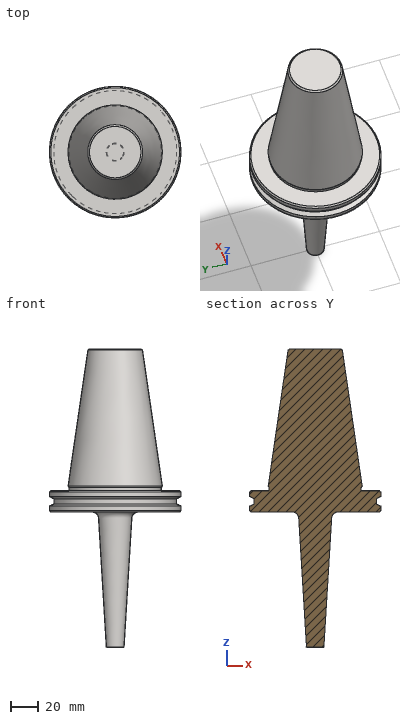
import cadquery as cq
import math

total_height = 220.8
flange_bottom = 100.0
flange_thickness = 16.0
neck_height = 3.5
flange_top = flange_bottom + flange_thickness
gauge_plane = flange_top + neck_height

gauge_radius = 35.0
shank_slope = 7 / 48
shank_top_chamfer = 1.0
gauge_edge_height = 1.3
neck_radius = 34.2

flange_radius = 48.7
flange_chamfer = 1.0
groove_floor_radius = 45.5
groove_center = 108.0
groove_floor_width = 3.8
groove_flank_angle = 27
groove_flank_height = (flange_radius - groove_floor_radius) * math.tan(math.radians(groove_flank_angle))
groove_mouth_width = groove_floor_width + 2 * groove_flank_height

nose_tip_radius = 6.6
nose_root_radius = 12.4
nose_tip_chamfer = 0.5
nose_fillet = 4.6
nose_top = flange_bottom - nose_fillet


def chamfered_disc(radius, bottom, height, chamfer):
    disc = cq.Workplane("XY").workplane(offset=bottom).circle(radius).extrude(height)
    return disc.faces("<Z or >Z").chamfer(chamfer)


def revolved(profile):
    return profile.close().revolve(360, (0, 0, 0), (0, 1, 0))


def make_shank():
    top_radius = gauge_radius - shank_slope * (total_height - gauge_plane)
    profile = (
        cq.Workplane("XZ")
        .moveTo(0, flange_bottom)
        .lineTo(neck_radius, flange_bottom)
        .lineTo(neck_radius, gauge_plane - gauge_edge_height)
        .lineTo(gauge_radius, gauge_plane)
        .lineTo(top_radius, total_height)
        .lineTo(0, total_height)
    )
    return revolved(profile).faces(">Z").chamfer(shank_top_chamfer)


def make_groove_cutter():
    profile = (
        cq.Workplane("XZ")
        .moveTo(groove_floor_radius, groove_center - groove_floor_width / 2)
        .lineTo(flange_radius, groove_center - groove_mouth_width / 2)
        .lineTo(flange_radius, groove_center + groove_mouth_width / 2)
        .lineTo(groove_floor_radius, groove_center + groove_floor_width / 2)
    )
    return revolved(profile)


def make_nose():
    arc_offset = nose_fillet * (1 - math.sqrt(0.5))
    profile = (
        cq.Workplane("XZ")
        .lineTo(nose_tip_radius - nose_tip_chamfer, 0)
        .lineTo(nose_tip_radius, nose_tip_chamfer)
        .lineTo(nose_root_radius, nose_top)
        .threePointArc(
            (nose_root_radius + arc_offset, flange_bottom - arc_offset),
            (nose_root_radius + nose_fillet, flange_bottom),
        )
        .lineTo(0, flange_bottom)
    )
    return revolved(profile)


flange = chamfered_disc(flange_radius, flange_bottom, flange_thickness, flange_chamfer)
flange = flange.cut(make_groove_cutter())
result = flange.union(make_shank()).union(make_nose())